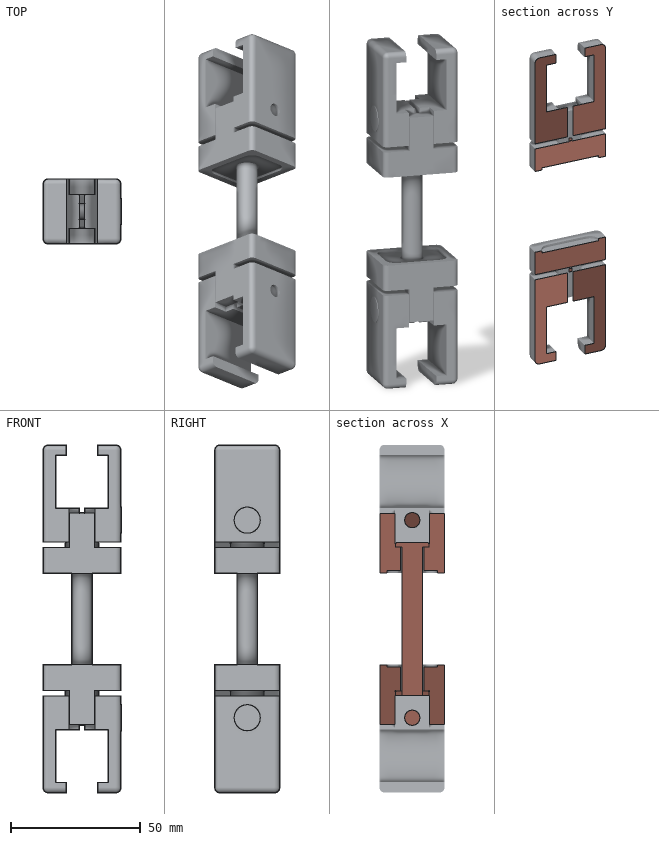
import cadquery as cq

total_height = 134.0
block_width = 30.0
block_depth = 25.0
edge_radius = 2.0

end_level = total_height / 2
lip_thickness = 4.0
clamp_floor_level = end_level - 24.3
jaw_base_level = end_level - 37.4
gap_height = 2.0
plate_top_level = jaw_base_level - gap_height
plate_thickness = 10.0
plate_bottom_level = plate_top_level - plate_thickness

clamp_opening = 20.1
lip_opening = 12.0
jaw_split = 2.0
notch_width = 10.0

prong_width = 9.6
prong_depth = 6.0
prong_setback = 2.0
prong_top_level = clamp_floor_level - prong_setback
recess_margin = 3.0
recess_depth = 1.0
recess_corner_radius = 4.0

rod_diameter = 8.0
rod_hole_diameter = 9.0
rod_head_diameter = 13.0
rod_head_edge_radius = 0.8
nut_edge_radius = 0.5

screw_level = end_level - 29.0
screw_diameter = 6.0
screw_head_diameter = 10.0
screw_head_height = 4.8
screw_head_protrusion = 0.19
screw_tip_setback = 1.3
tip_hole_diameter = 5.0


def box_between(x_range, y_range, z_range):
    """Axis-aligned box given its limits along X, Y and Z."""
    size = [high - low for low, high in (x_range, y_range, z_range)]
    corner = (x_range[0], y_range[0], z_range[0])
    return cq.Workplane("XY").box(*size, centered=False).translate(corner)


def centered_box(width, depth, bottom, top):
    """Box centred on the Z axis between two levels."""
    return box_between((-width / 2, width / 2), (-depth / 2, depth / 2), (bottom, top))


def x_cylinder(diameter, start, end):
    """Cylinder along X on the clamp screw axis."""
    return (
        cq.Workplane("YZ", origin=(start, 0, screw_level))
        .circle(diameter / 2)
        .extrude(end - start)
    )


def z_cylinder(diameter, bottom, top):
    """Cylinder on the Z axis between two levels."""
    return cq.Workplane("XY", origin=(0, 0, bottom)).circle(diameter / 2).extrude(top - bottom)


def make_clamp_screw():
    """Round-headed screw that draws the two jaws together."""
    outer_face = block_width / 2
    head_end = outer_face + screw_head_protrusion
    head_start = head_end - screw_head_height
    shank_tip = screw_tip_setback - outer_face
    shank = x_cylinder(screw_diameter, shank_tip, head_start)
    head = x_cylinder(screw_head_diameter, head_start, head_end)
    return shank.union(head)


def make_jaw(side):
    """Upper jaw on the -X (side = -1) or +X (side = 1) half of the block."""
    block = (
        centered_box(block_width, block_depth, jaw_base_level, end_level)
        .edges("|Z or >Z")
        .fillet(edge_radius)
    )
    opening = centered_box(clamp_opening, block_depth, clamp_floor_level, end_level - lip_thickness)
    mouth = centered_box(lip_opening, block_depth, clamp_floor_level, end_level)
    slit = centered_box(jaw_split, block_depth, jaw_base_level, clamp_floor_level)
    jaw = block.cut(opening).cut(mouth).cut(slit)

    tongue_half_depth = block_depth / 2 - prong_depth
    notch_x = (-notch_width / 2, notch_width / 2)
    for y_range in ((-block_depth / 2, -tongue_half_depth), (tongue_half_depth, block_depth / 2)):
        jaw = jaw.cut(box_between(notch_x, y_range, (jaw_base_level, clamp_floor_level)))

    jaw = jaw.cut(make_clamp_screw()).cut(x_cylinder(tip_hole_diameter, -block_width / 2, 0))

    half_x = sorted((0, side * block_width / 2))
    half_y = (-block_depth / 2, block_depth / 2)
    return jaw.intersect(box_between(half_x, half_y, (jaw_base_level, end_level)))


def make_yoke():
    """Upper yoke: a plate with two prongs, a shallow recess and the rod hole."""
    yoke = (
        centered_box(block_width, block_depth, plate_bottom_level, plate_top_level)
        .edges("|Z")
        .fillet(edge_radius)
    )
    prongs = centered_box(prong_width, block_depth, plate_top_level, prong_top_level)
    prong_space = centered_box(
        prong_width, block_depth - 2 * prong_depth, plate_top_level, prong_top_level
    )
    recess = (
        centered_box(
            block_width - 2 * recess_margin,
            block_depth - 2 * recess_margin,
            plate_bottom_level,
            plate_bottom_level + recess_depth,
        )
        .edges("|Z")
        .fillet(recess_corner_radius)
    )
    rod_hole = z_cylinder(rod_hole_diameter, plate_bottom_level, plate_top_level)
    return yoke.union(prongs.cut(prong_space)).cut(recess).cut(rod_hole)


def make_tie_rod():
    """Rod through both yokes, with its round head on the upper yoke plate."""
    head = (
        z_cylinder(rod_head_diameter, plate_top_level, jaw_base_level)
        .edges(">Z")
        .fillet(rod_head_edge_radius)
    )
    return z_cylinder(rod_diameter, -jaw_base_level, plate_top_level).union(head)


def make_rod_nut():
    """Round nut on the lower end of the rod, against the lower yoke plate."""
    nut = (
        z_cylinder(rod_head_diameter, -jaw_base_level, -plate_top_level)
        .edges(">Z")
        .fillet(nut_edge_radius)
    )
    return nut.cut(z_cylinder(rod_diameter, -jaw_base_level, -plate_top_level))


upper_parts = [make_jaw(-1), make_jaw(1), make_yoke(), make_clamp_screw()]
bodies = [make_tie_rod().val(), make_rod_nut().val()]
for upper_part in upper_parts:
    bodies.extend(upper_part.solids().vals())
    bodies.extend(upper_part.mirror("XY").solids().vals())

result = cq.Compound.makeCompound(bodies)